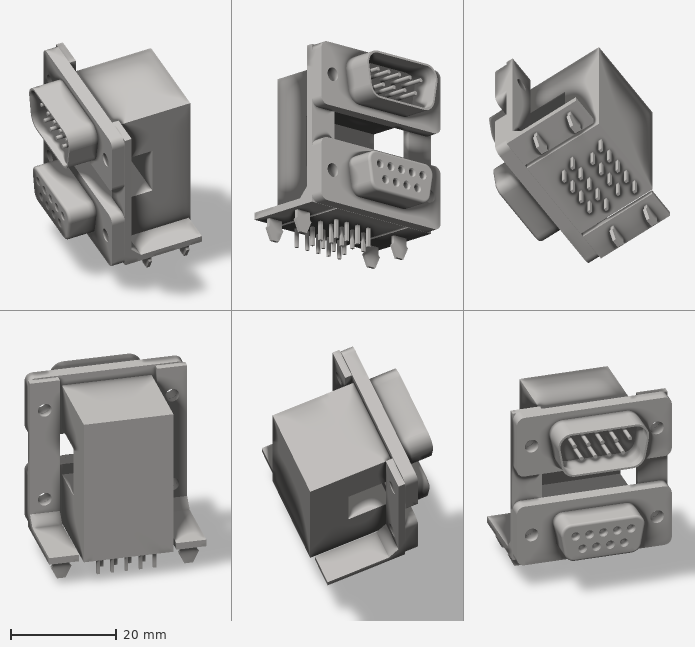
import cadquery as cq
import math


WIDTH = 30.9
OVERALL_HEIGHT = 35.9
STACK_PITCH = 19.05
FLANGE_HEIGHT = 12.55
FLANGE_THICKNESS = 2.62
FLANGE_CORNER_RADIUS = 1.5
FLANGE_GAP = 0.07
SOCKET_Z = FLANGE_HEIGHT / 2
PLUG_Z = SOCKET_Z + STACK_PITCH
SCREW_HOLE_DIAMETER = 2.7
SCREW_HOLE_X = 12.53
FLANGE_BACK_Y = -FLANGE_GAP
FLANGE_FRONT_Y = FLANGE_BACK_Y - FLANGE_THICKNESS

CONTACT_PITCH = 2.75
CONTACT_ROW_GAP = 2.85
UPPER_ROW_COUNT = 5
LOWER_ROW_COUNT = 4

SHELL_TILT = math.radians(10)
PLUG_TOP_HALF_WIDTH = 9.6
PLUG_HEIGHT = 9.3
PLUG_CORNER_RADIUS = 2.73
PLUG_LENGTH = 6.0
PLUG_WALL = 0.4
PIN_DIAMETER = 0.8
PIN_LENGTH = 5.17
SOCKET_TOP_HALF_WIDTH = 8.72
SOCKET_HEIGHT = 7.9
SOCKET_CORNER_RADIUS = 2.0
SOCKET_LENGTH = 5.75
SOCKET_EDGE_RADIUS = 0.5
SOCKET_HOLE_DIAMETER = 1.22
SOCKET_MOUTH_DIAMETER = 1.75
SOCKET_HOLE_DEPTH = SOCKET_LENGTH
SOCKET_MOUTH_ANGLE = 90

HOUSING_WIDTH = 17.63
HOUSING_DEPTH = 16.85
HOUSING_HEIGHT = 29.5
NOTCH_DEPTH = 8.85
NOTCH_BOTTOM_Z = 10.38
NOTCH_TOP_Z = 20.4
TAIL_SIZE = 0.6
TAIL_LENGTH = 3.75
TAIL_FRONT_Y = 5.42
TAIL_ROW_GAP = 2.9
TAIL_GROUP_PITCH = 6.65

BRACKET_WIDTH = 5.9
BRACKET_HEIGHT = 31.4
BRACKET_DEPTH = 16.15
BRACKET_THICKNESS = 1.4
GUSSET_SIZE = 1.97
LOCK_Y = (5.8, 13.68)
LOCK_THICKNESS = 0.7
LOCK_LENGTH = OVERALL_HEIGHT - STACK_PITCH - FLANGE_HEIGHT
LOCK_STEM_WIDTH = 3.25
LOCK_STEM_LENGTH = 1.55
LOCK_BARB_WIDTH = 4.02
LOCK_BARB_DEPTH = 1.9
LOCK_TIP_WIDTH = 1.7


def front_plane(y, z=0):
    """Workplane at depth y and height z that extrudes toward -Y."""
    return cq.Workplane("XZ", origin=(0, y, z))


def row_positions(count):
    """X positions of a centred row of contacts."""
    return [(i - (count - 1) / 2) * CONTACT_PITCH for i in range(count)]


def contact_points():
    """Positions of the nine contacts about the centre of a connector."""
    upper = [(x, CONTACT_ROW_GAP / 2) for x in row_positions(UPPER_ROW_COUNT)]
    lower = [(x, -CONTACT_ROW_GAP / 2) for x in row_positions(LOWER_ROW_COUNT)]
    return upper + lower


def d_prism(y, z, top_half_width, height, corner_radius, length):
    """Rounded D-shaped prism that extends toward -Y, wider at its top."""
    bottom_half_width = top_half_width - height * math.tan(SHELL_TILT)
    outline = [
        (-top_half_width, height / 2),
        (top_half_width, height / 2),
        (bottom_half_width, -height / 2),
        (-bottom_half_width, -height / 2),
    ]
    prism = front_plane(y, z).polyline(outline).close().extrude(length)
    return prism.edges("|Y").fillet(corner_radius)


def make_flange(z):
    """Rounded mounting flange with two screw holes."""
    plate = front_plane(FLANGE_BACK_Y, z).rect(WIDTH, FLANGE_HEIGHT).extrude(FLANGE_THICKNESS)
    plate = plate.edges("|Y").fillet(FLANGE_CORNER_RADIUS)
    holes = (
        front_plane(FLANGE_BACK_Y, z)
        .pushPoints([(-SCREW_HOLE_X, 0), (SCREW_HOLE_X, 0)])
        .circle(SCREW_HOLE_DIAMETER / 2)
        .extrude(FLANGE_THICKNESS)
    )
    return plate.cut(holes)


def make_plug():
    """Flange with a hollow D-shell around nine round pins."""
    shell = d_prism(
        FLANGE_FRONT_Y, PLUG_Z, PLUG_TOP_HALF_WIDTH, PLUG_HEIGHT, PLUG_CORNER_RADIUS, PLUG_LENGTH
    )
    wall_inset = PLUG_WALL * math.tan(math.pi / 4 + SHELL_TILT / 2)
    cavity = d_prism(
        FLANGE_FRONT_Y,
        PLUG_Z,
        PLUG_TOP_HALF_WIDTH - wall_inset,
        PLUG_HEIGHT - 2 * PLUG_WALL,
        PLUG_CORNER_RADIUS - PLUG_WALL,
        PLUG_LENGTH,
    )
    pins = (
        front_plane(FLANGE_FRONT_Y, PLUG_Z)
        .pushPoints(contact_points())
        .circle(PIN_DIAMETER / 2)
        .extrude(PIN_LENGTH)
    )
    return make_flange(PLUG_Z).union(shell.cut(cavity)).union(pins)


def make_socket():
    """Flange with a solid D-shaped nose and nine countersunk contact holes."""
    nose = d_prism(
        FLANGE_FRONT_Y,
        SOCKET_Z,
        SOCKET_TOP_HALF_WIDTH,
        SOCKET_HEIGHT,
        SOCKET_CORNER_RADIUS,
        SOCKET_LENGTH,
    )
    nose = nose.faces("<Y").edges().fillet(SOCKET_EDGE_RADIUS)
    nose = (
        front_plane(FLANGE_FRONT_Y - SOCKET_LENGTH, SOCKET_Z)
        .add(nose)
        .pushPoints(contact_points())
        .cskHole(SOCKET_HOLE_DIAMETER, SOCKET_MOUTH_DIAMETER, SOCKET_MOUTH_ANGLE, SOCKET_HOLE_DEPTH)
    )
    return make_flange(SOCKET_Z).union(nose)


def make_tail_row(count, y):
    """Row of square solder tails below the board surface."""
    points = [(x, y) for x in row_positions(count)]
    return cq.Workplane("XY").pushPoints(points).rect(TAIL_SIZE, TAIL_SIZE).extrude(-TAIL_LENGTH)


def make_housing():
    """C-shaped insulator block with four rows of solder tails."""
    profile = [
        (0, 0),
        (0, NOTCH_BOTTOM_Z),
        (NOTCH_DEPTH, NOTCH_BOTTOM_Z),
        (NOTCH_DEPTH, NOTCH_TOP_Z),
        (0, NOTCH_TOP_Z),
        (0, HOUSING_HEIGHT),
        (HOUSING_DEPTH, HOUSING_HEIGHT),
        (HOUSING_DEPTH, 0),
    ]
    body = cq.Workplane("YZ").polyline(profile).close().extrude(HOUSING_WIDTH / 2, both=True)
    for group_y in (TAIL_FRONT_Y, TAIL_FRONT_Y + TAIL_GROUP_PITCH):
        body = body.union(make_tail_row(LOWER_ROW_COUNT, group_y))
        body = body.union(make_tail_row(UPPER_ROW_COUNT, group_y + TAIL_ROW_GAP))
    return body


def make_board_lock(x, y):
    """Flat barbed tongue that snaps into the circuit board."""
    stem = LOCK_STEM_WIDTH / 2
    barb = LOCK_BARB_WIDTH / 2
    tip = LOCK_TIP_WIDTH / 2
    outline = [
        (-stem, 0),
        (-stem, -LOCK_STEM_LENGTH),
        (-barb, -LOCK_BARB_DEPTH),
        (-tip, -LOCK_LENGTH),
        (tip, -LOCK_LENGTH),
        (barb, -LOCK_BARB_DEPTH),
        (stem, -LOCK_STEM_LENGTH),
        (stem, 0),
    ]
    tongue = cq.Workplane("XZ").polyline(outline).close().extrude(LOCK_THICKNESS / 2, both=True)
    return tongue.translate((x, y, 0))


def make_bracket(side):
    """L-shaped bracket with a corner gusset, screw holes and two board locks."""
    profile = [
        (0, 0),
        (0, BRACKET_HEIGHT),
        (BRACKET_THICKNESS, BRACKET_HEIGHT),
        (BRACKET_THICKNESS, BRACKET_THICKNESS + GUSSET_SIZE),
        (BRACKET_THICKNESS + GUSSET_SIZE, BRACKET_THICKNESS),
        (BRACKET_DEPTH, BRACKET_THICKNESS),
        (BRACKET_DEPTH, 0),
    ]
    centre_x = side * (WIDTH - BRACKET_WIDTH) / 2
    bracket = cq.Workplane("YZ").polyline(profile).close().extrude(BRACKET_WIDTH / 2, both=True)
    bracket = bracket.translate((centre_x, 0, 0))
    holes = (
        front_plane(BRACKET_THICKNESS)
        .pushPoints([(side * SCREW_HOLE_X, SOCKET_Z), (side * SCREW_HOLE_X, PLUG_Z)])
        .circle(SCREW_HOLE_DIAMETER / 2)
        .extrude(BRACKET_THICKNESS)
    )
    bracket = bracket.cut(holes)
    for lock_y in LOCK_Y:
        bracket = bracket.union(make_board_lock(side * SCREW_HOLE_X, lock_y))
    return bracket


housing = make_housing()
plug = make_plug()
socket = make_socket()
brackets = [make_bracket(side) for side in (-1, 1)]

result = cq.Compound.makeCompound(
    [housing.val(), plug.val(), socket.val(), *[bracket.val() for bracket in brackets]]
)